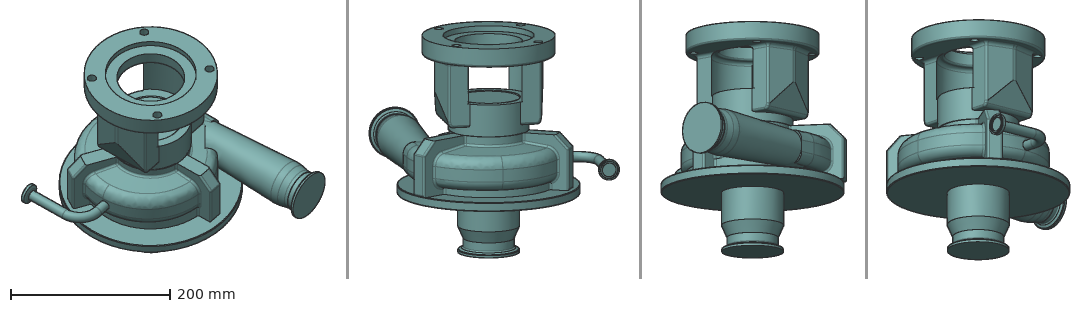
import cadquery as cq
import math


FLANGE_TOP = 190.5
FLANGE_THICKNESS = 24.0
FLANGE_RADIUS = 83.6
FLANGE_EDGE_FILLET = 2.5
SPIGOT_RADIUS = 57.0
SPIGOT_DEPTH = 7.0
FLANGE_BORE_RADIUS = 42.4
BOLT_CIRCLE_RADIUS = 74.25
BOLT_COUNT = 4
BOLT_HOLE_DIAMETER = 11.0
RING_TOP = 111.6
RING_RADIUS = 50.9
RECESS_RADIUS = 40.0
RECESS_DEPTH = 1.1
LEG_BOTTOM = 81.6
LEG_HALF_WIDTH = 39.1
LEG_RIDGE_HALF_WIDTH = 2.3
LEG_RIDGE_Y = 69.0
LEG_SIDE_Y = 59.5
LEG_INNER_RADIUS = 52.0
LEG_TAPER_TOP = 120.5
LEG_TAPER_BOTTOM = 87.0
LEG_EDGE_FILLET = 3.0
LEG_FOOT_FILLET = 6.0
LEG_FLANGE_FILLET = 5.0

HUB_TOP = 70.6
HUB_RADIUS = 49.6
HUB_FILLET = 3.0
NECK_RADIUS = 84.5
VOLUTE_BOTTOM = 9.8
VOLUTE_TOP_ROLL = 14.9
VOLUTE_BOTTOM_ROLL = 13.1
SPIRAL_RADIUS = 101.1
SPIRAL_STEP = 5.85
LAST_ARC_SWEEP = 45.0
TONGUE_RADIUS = 68.0
DOME_TOP = 57.8
DOME_RADIUS = 120.0
DOME_SLOPE = 0.12
DOME_EDGE = DOME_TOP - DOME_SLOPE * (DOME_RADIUS - HUB_RADIUS)
DOME_SEAM_ANGLE = 55.0
VOLUTE_EXIT_X = 26.0
OUTLET_Y = 80.3
OUTLET_Z = 30.5
DIFFUSER_START_RADIUS = 22.4
DIFFUSER_END_RADIUS = 29.4
DIFFUSER_END_X = 152.0
SHOULDER_X = 162.0
SHOULDER_MID_RADIUS = 29.3
SHOULDER_RADIUS = 28.4
OUTLET_SPIGOT_X = 171.5
OUTLET_SPIGOT_RADIUS = 26.5
OUTLET_JOINT_X = 176.3
RIB_WIDTH = 20.0
RIB_CHAMFER = 17.4
RIB_EDGE_FILLET = 2.5
RIB_ROOT_FILLET = 2.9
RIB_ROOT_MARGIN = 14.0
RIB_REACH_BY_ANGLE = {0: 104.5, 120: 118.5, 240: 108.9}

OUTLET_FACE_X = 190.0
OUTLET_NECK_RADIUS = 25.7
OUTLET_RIM_RADIUS = 32.2

COVER_RADIUS = 115.0
COVER_THICKNESS = 11.5
COVER_EDGE_CHAMFER = 1.0
INLET_BOTTOM = -87.0
INLET_TUBE_RADIUS = 39.1
INLET_CONE_TOP = -53.4
INLET_CONE_BOTTOM = -69.0
INLET_NECK_RADIUS = 32.2
INLET_RIM_RADIUS = 38.8

DRAIN_Y = -135.7
DRAIN_Z = 30.0
DRAIN_RADIUS = 6.5
DRAIN_BEND_RADIUS = 28.4
DRAIN_FACE_X = -89.0
DRAIN_NECK_X = -82.5
DRAIN_NECK_RADIUS = 7.0
DRAIN_CONE_RADIUS = 9.0
DRAIN_RIM_RADIUS = 13.0
DRAIN_INNER_Y = -85.0
DRAIN_GROOVE_OUTER = 11.0
DRAIN_GROOVE_INNER = 8.8
DRAIN_GROOVE_DEPTH = 1.0

RIM_THICKNESS = 4.0
RIM_CONE_LENGTH = 1.6
RIM_BEVEL = 1.0
NECK_FILLET = 1.8


def cylinder(radius, bottom, top):
    return cq.Workplane("XY").workplane(offset=bottom).circle(radius).extrude(top - bottom)


def box_around(low, high, margin=0.1):
    """Selector for everything centred between two corner points."""
    return cq.selectors.BoxSelector(
        tuple(value - margin for value in low), tuple(value + margin for value in high)
    )


def ferrule(length, neck_radius, rim_radius):
    """Solid clamp ferrule on +Z: neck at Z = 0, rim face at Z = length."""
    rim_back = length - RIM_THICKNESS
    neck_end = rim_back - RIM_CONE_LENGTH
    return (
        cq.Workplane("XZ")
        .lineTo(neck_radius, 0)
        .lineTo(neck_radius, neck_end - NECK_FILLET)
        .radiusArc((neck_radius + NECK_FILLET, neck_end), NECK_FILLET)
        .lineTo(rim_radius - RIM_BEVEL, rim_back)
        .lineTo(rim_radius, rim_back + RIM_BEVEL)
        .lineTo(rim_radius, length)
        .lineTo(0, length)
        .close()
        .revolve(360, (0, 0, 0), (0, 1, 0))
    )


def lantern_leg():
    """Leg on the -Y side, with its ridge facing outward."""
    flange_bottom = FLANGE_TOP - FLANGE_THICKNESS
    leg = (
        cq.Workplane("XY")
        .workplane(offset=LEG_BOTTOM)
        .moveTo(-LEG_HALF_WIDTH, 0)
        .lineTo(-LEG_HALF_WIDTH, -LEG_SIDE_Y)
        .lineTo(-LEG_RIDGE_HALF_WIDTH, -LEG_RIDGE_Y)
        .lineTo(LEG_RIDGE_HALF_WIDTH, -LEG_RIDGE_Y)
        .lineTo(LEG_HALF_WIDTH, -LEG_SIDE_Y)
        .lineTo(LEG_HALF_WIDTH, 0)
        .close()
        .extrude(flange_bottom - LEG_BOTTOM)
    )
    taper_run = (LEG_RIDGE_Y - LEG_SIDE_Y) / (LEG_TAPER_TOP - LEG_TAPER_BOTTOM)
    taper_foot_y = LEG_SIDE_Y - taper_run * (LEG_TAPER_BOTTOM - LEG_BOTTOM)
    taper = (
        cq.Workplane("YZ")
        .moveTo(-LEG_RIDGE_Y, LEG_TAPER_TOP)
        .lineTo(-taper_foot_y, LEG_BOTTOM)
        .lineTo(-LEG_RIDGE_Y, LEG_BOTTOM)
        .close()
        .extrude(LEG_HALF_WIDTH, both=True)
    )
    leg = leg.cut(taper)
    leg = leg.faces("<Z").edges("<Y").fillet(LEG_FOOT_FILLET)
    for side in (-LEG_HALF_WIDTH, LEG_HALF_WIDTH):
        outer_edges = box_around((side, -LEG_RIDGE_Y, LEG_BOTTOM), (side, -1, flange_bottom - 1))
        leg = leg.edges(outer_edges).fillet(LEG_EDGE_FILLET)
    return leg


def make_lantern():
    flange_bottom = FLANGE_TOP - FLANGE_THICKNESS
    flange = cylinder(FLANGE_RADIUS, flange_bottom, FLANGE_TOP)
    flange = flange.cut(cylinder(FLANGE_BORE_RADIUS, flange_bottom, FLANGE_TOP))
    flange = flange.faces("<Z").edges().fillet(FLANGE_EDGE_FILLET)
    flange = flange.cut(cylinder(SPIGOT_RADIUS, FLANGE_TOP - SPIGOT_DEPTH, FLANGE_TOP))
    bolt_holes = (
        cq.Workplane("XY")
        .workplane(offset=flange_bottom)
        .polarArray(BOLT_CIRCLE_RADIUS, 45, 360, BOLT_COUNT)
        .circle(BOLT_HOLE_DIAMETER / 2)
        .extrude(FLANGE_THICKNESS)
    )
    leg = lantern_leg()
    legs = leg.union(leg.rotate((0, 0, 0), (0, 0, 1), 180))
    legs = legs.cut(cylinder(LEG_INNER_RADIUS, RING_TOP, flange_bottom))
    legs = legs.cut(cylinder(RING_RADIUS, LEG_BOTTOM, RING_TOP))
    lantern = flange.union(legs)
    for low_y, high_y in ((-LEG_RIDGE_Y, -1), (1, LEG_RIDGE_Y)):
        leg_root = box_around(
            (-LEG_HALF_WIDTH, low_y, flange_bottom), (LEG_HALF_WIDTH, high_y, flange_bottom)
        )
        lantern = lantern.edges(leg_root).fillet(LEG_FLANGE_FILLET)
    lantern = lantern.cut(bolt_holes)
    lantern = lantern.union(cylinder(RING_RADIUS, HUB_TOP, RING_TOP))
    recess = (
        cq.Workplane("XY")
        .workplane(offset=RING_TOP)
        .circle(RECESS_RADIUS)
        .extrude(-RECESS_DEPTH, taper=45)
    )
    return lantern.cut(recess)


def arc_points(center, radius, start, end):
    """Middle and end point of an arc between two angles in degrees."""
    angles = [math.radians((start + end) / 2), math.radians(end)]
    return [
        (center[0] + radius * math.cos(angle), center[1] + radius * math.sin(angle)) for angle in angles
    ]


HUB_FOOT = box_around((-HUB_RADIUS, -HUB_RADIUS, DOME_TOP), (HUB_RADIUS, HUB_RADIUS, DOME_TOP))


def volute():
    """Scroll of four tangent arcs whose centres are the corners of a small square."""
    half = SPIRAL_STEP / 2
    centers = [(half, half), (-half, half), (-half, -half), (half, -half)]
    exit_y = half + SPIRAL_RADIUS
    scroll = (
        cq.Workplane("XY")
        .workplane(offset=VOLUTE_BOTTOM)
        .moveTo(VOLUTE_EXIT_X, exit_y)
        .lineTo(half, exit_y)
    )
    for quarter, center in enumerate(centers):
        start = 90 + 90 * quarter
        sweep = LAST_ARC_SWEEP if quarter == len(centers) - 1 else 90
        radius = SPIRAL_RADIUS - quarter * SPIRAL_STEP
        scroll = scroll.threePointArc(*arc_points(center, radius, start, start + sweep))
    tongue_angle = math.radians(LAST_ARC_SWEEP)
    scroll = (
        scroll.lineTo(
            half + TONGUE_RADIUS * math.cos(tongue_angle), -half + TONGUE_RADIUS * math.sin(tongue_angle)
        )
        .lineTo(VOLUTE_EXIT_X, exit_y - VOLUTE_TOP_ROLL - VOLUTE_BOTTOM_ROLL)
        .close()
        .extrude(DOME_TOP - VOLUTE_BOTTOM)
    )
    dome = (
        cq.Workplane("XZ")
        .lineTo(DOME_RADIUS, 0)
        .lineTo(DOME_RADIUS, DOME_EDGE)
        .lineTo(HUB_RADIUS, DOME_TOP)
        .lineTo(0, DOME_TOP)
        .close()
        .revolve(360, (0, 0, 0), (0, 1, 0))
        .rotate((0, 0, 0), (0, 0, 1), DOME_SEAM_ANGLE)
    )
    scroll = scroll.intersect(dome)
    scroll = scroll.edges("%BSPLINE").fillet(VOLUTE_TOP_ROLL)
    return scroll.faces("<Z").edges("%CIRCLE").fillet(VOLUTE_BOTTOM_ROLL)


def make_diffuser():
    return (
        cq.Workplane("XY")
        .moveTo(0, OUTLET_Y)
        .lineTo(0, OUTLET_Y + DIFFUSER_START_RADIUS)
        .lineTo(DIFFUSER_END_X, OUTLET_Y + DIFFUSER_END_RADIUS)
        .threePointArc(
            ((DIFFUSER_END_X + SHOULDER_X) / 2, OUTLET_Y + SHOULDER_MID_RADIUS),
            (SHOULDER_X, OUTLET_Y + SHOULDER_RADIUS),
        )
        .lineTo(OUTLET_SPIGOT_X, OUTLET_Y + OUTLET_SPIGOT_RADIUS)
        .lineTo(OUTLET_JOINT_X, OUTLET_Y + OUTLET_SPIGOT_RADIUS)
        .lineTo(OUTLET_JOINT_X, OUTLET_Y)
        .close()
        .revolve(360, (0, OUTLET_Y, 0), (1, OUTLET_Y, 0))
        .translate((0, 0, OUTLET_Z))
    )


def rib(angle, reach):
    body = (
        cq.Workplane("XZ")
        .lineTo(reach, 0)
        .lineTo(reach, HUB_TOP - RIB_CHAMFER)
        .lineTo(reach - RIB_CHAMFER, HUB_TOP)
        .lineTo(0, HUB_TOP)
        .close()
        .extrude(RIB_WIDTH / 2, both=True)
    )
    outer = box_around((reach - RIB_CHAMFER + 1, -RIB_WIDTH, 0), (reach, RIB_WIDTH, HUB_TOP - 1))
    body = body.edges(outer).fillet(RIB_EDGE_FILLET)
    return body.rotate((0, 0, 0), (0, 0, 1), angle)


def fillet_rib_roots(casing, angle, reach):
    """Blend both sides of a rib into the hub, volute and neck."""
    root_reach = reach - RIB_ROOT_MARGIN
    aligned = casing.rotate((0, 0, 0), (0, 0, 1), -angle)
    for side_y in (-RIB_WIDTH / 2, RIB_WIDTH / 2):
        roots = box_around((0, side_y, 1), (root_reach, side_y, HUB_TOP - 1))
        aligned = aligned.edges(roots).fillet(RIB_ROOT_FILLET)
    return aligned.rotate((0, 0, 0), (0, 0, 1), angle)


def make_casing():
    casing = volute()
    casing = casing.union(cylinder(HUB_RADIUS, VOLUTE_BOTTOM, HUB_TOP))
    casing = casing.edges(HUB_FOOT).fillet(HUB_FILLET)
    casing = casing.union(cylinder(NECK_RADIUS, 0, VOLUTE_BOTTOM + VOLUTE_BOTTOM_ROLL))
    for angle, reach in RIB_REACH_BY_ANGLE.items():
        casing = casing.union(rib(angle, reach))
    for angle, reach in RIB_REACH_BY_ANGLE.items():
        casing = fillet_rib_roots(casing, angle, reach)
    return casing.union(make_diffuser())


def make_outlet_ferrule():
    length = OUTLET_FACE_X - OUTLET_JOINT_X
    return (
        ferrule(length, OUTLET_NECK_RADIUS, OUTLET_RIM_RADIUS)
        .rotate((0, 0, 0), (0, 1, 0), 90)
        .translate((OUTLET_JOINT_X, OUTLET_Y, OUTLET_Z))
    )


def make_cover():
    plate = cylinder(COVER_RADIUS, -COVER_THICKNESS, 0)
    return plate.edges().chamfer(COVER_EDGE_CHAMFER)


def make_inlet():
    tube = cylinder(INLET_TUBE_RADIUS, INLET_CONE_TOP, -COVER_THICKNESS)
    cone = (
        cq.Workplane("XY")
        .workplane(offset=INLET_CONE_TOP)
        .circle(INLET_TUBE_RADIUS)
        .workplane(offset=INLET_CONE_BOTTOM - INLET_CONE_TOP)
        .circle(INLET_NECK_RADIUS)
        .loft()
    )
    end = (
        ferrule(INLET_CONE_BOTTOM - INLET_BOTTOM, INLET_NECK_RADIUS, INLET_RIM_RADIUS)
        .rotate((0, 0, 0), (1, 0, 0), 180)
        .translate((0, 0, INLET_CONE_BOTTOM))
    )
    return tube.union(cone).union(end)


def make_drain(casing):
    """Bent drain pipe with its grooved ferrule, ending on the wall of the casing."""
    bend_x = -DRAIN_BEND_RADIUS
    bend_y = DRAIN_Y + DRAIN_BEND_RADIUS
    bend_offset = DRAIN_BEND_RADIUS * (1 - math.sqrt(0.5))
    path = (
        cq.Workplane("XY")
        .workplane(offset=DRAIN_Z)
        .moveTo(0, DRAIN_INNER_Y)
        .lineTo(0, bend_y)
        .threePointArc((-bend_offset, DRAIN_Y + bend_offset), (bend_x, DRAIN_Y))
        .lineTo(DRAIN_NECK_X, DRAIN_Y)
    )
    pipe = (
        cq.Workplane("XZ", origin=(0, DRAIN_INNER_Y, DRAIN_Z)).circle(DRAIN_RADIUS).sweep(path)
    )
    rim_back_x = DRAIN_FACE_X + RIM_THICKNESS
    end = (
        cq.Workplane("XY")
        .moveTo(DRAIN_NECK_X, 0)
        .lineTo(DRAIN_NECK_X, DRAIN_NECK_RADIUS)
        .lineTo(rim_back_x + RIM_CONE_LENGTH, DRAIN_CONE_RADIUS)
        .lineTo(rim_back_x, DRAIN_RIM_RADIUS)
        .lineTo(DRAIN_FACE_X, DRAIN_RIM_RADIUS)
        .lineTo(DRAIN_FACE_X, 0)
        .close()
        .revolve(360, (0, 0, 0), (1, 0, 0))
    )
    groove = (
        cq.Workplane("YZ", origin=(DRAIN_FACE_X, 0, 0))
        .circle(DRAIN_GROOVE_OUTER)
        .circle(DRAIN_GROOVE_INNER)
        .extrude(DRAIN_GROOVE_DEPTH)
    )
    end = end.cut(groove).translate((0, DRAIN_Y, DRAIN_Z))
    return pipe.union(end).cut(casing)


lantern = make_lantern()
casing = make_casing()
outlet_ferrule = make_outlet_ferrule()
cover = make_cover()
inlet = make_inlet()
drain = make_drain(casing)

result = cq.Compound.makeCompound(
    [
        lantern.val(),
        casing.val(),
        outlet_ferrule.val(),
        cover.val(),
        inlet.val(),
        drain.val(),
    ]
)